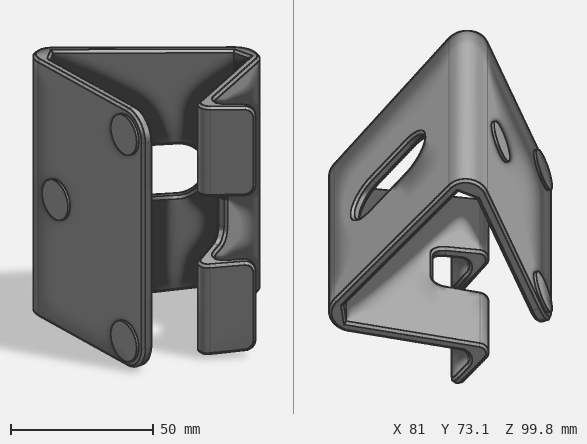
import cadquery as cq
import math

height = 99.8
edge_chamfer = 1.0
square_tolerance = 0.2
side_taper = 4.0

base_thickness = 4.5
wall_thickness = 4.0
lip_thickness = 3.6
base_length = 69.4
back_angle = 60.7
front_angle = 59.3
lip_angle = 60.0
base_bend_radius = 8.0
apex_bend_radius = 8.2
apex_height = 72.1
hook_bottom = 24.6
hook_outer_radius = 3.8
hook_inner_radius = 3.7
lip_end_x = 81.5

base_gusset_on_base = 7.9
base_gusset_on_back = 5.9
apex_gusset_on_back = 7.8
apex_gusset_on_front = 5.9

base_corner_radius = 10.0
lip_corner_radius = 4.0

window_length = 39.9
window_width = 20.0
window_center_y = 41.5

slot_end_y = 42.7
slot_end_width = 23.6
slot_corner_radius = 5.0

foot_diameter = 15.0
foot_thickness = 1.0
foot_inset = 10.0
foot_spacing = 40.0


def direction(degrees):
    angle = math.radians(degrees)
    return cq.Vector(math.cos(angle), math.sin(angle))


def crossing(point_a, along_a, point_b, along_b):
    """Point where two lines in the XY plane meet."""
    gap = point_b - point_a
    reach = gap.cross(along_b).z / along_a.cross(along_b).z
    return point_a + along_a * reach


back_along = direction(back_angle)
back_out = direction(back_angle + 90)
front_along = direction(-front_angle)
front_out = direction(90 - front_angle)
lip_along = direction(lip_angle)
lip_out = direction(lip_angle - 90)
right = cq.Vector(1, 0)
up = cq.Vector(0, 1)

base_bend = cq.Vector(base_bend_radius, base_bend_radius)
back_outer = base_bend + back_out * base_bend_radius
apex_level = up * (apex_height - apex_bend_radius)
apex_bend = crossing(back_outer - back_out * apex_bend_radius, back_along, apex_level, right)
front_outer = apex_bend + front_out * apex_bend_radius

back_inner = back_outer - back_out * wall_thickness
front_inner = front_outer - front_out * wall_thickness
base_inner = up * base_thickness

hook_level = up * (hook_bottom + hook_outer_radius)
hook_outer_bend = crossing(
    front_inner + front_out * hook_outer_radius,
    front_along,
    hook_level,
    right,
)
lip_outer = hook_outer_bend + lip_out * hook_outer_radius
lip_inner = lip_outer - lip_out * lip_thickness
hook_inner_bend = crossing(
    front_outer + front_out * hook_inner_radius,
    front_along,
    lip_inner - lip_out * hook_inner_radius,
    lip_along,
)
lip_end_outer = crossing(lip_outer, lip_along, right * lip_end_x, up)
lip_end_inner = lip_end_outer - lip_out * lip_thickness

base_corner = crossing(base_inner, right, back_inner, back_along)
apex_corner = crossing(back_inner, back_along, front_inner, front_along)


def sheet():
    """The bent sheet, taller than needed and with all edges sharp."""
    base_bend_middle = base_bend + direction(225) * base_bend_radius
    return (
        cq.Workplane("XY")
        .moveTo(base_bend_radius, 0)
        .threePointArc(base_bend_middle, back_outer)
        .polyline([apex_bend + back_out * apex_bend_radius], includeCurrent=True)
        .threePointArc(apex_bend + up * apex_bend_radius, front_outer)
        .polyline([hook_inner_bend - front_out * hook_inner_radius], includeCurrent=True)
        .threePointArc(
            hook_inner_bend - up * hook_inner_radius,
            hook_inner_bend + lip_out * hook_inner_radius,
        )
        .polyline([lip_end_inner, lip_end_outer, lip_outer], includeCurrent=True)
        .threePointArc(
            hook_outer_bend - up * hook_outer_radius,
            hook_outer_bend - front_out * hook_outer_radius,
        )
        .polyline(
            [
                apex_corner + front_along * apex_gusset_on_front,
                apex_corner - back_along * apex_gusset_on_back,
                base_corner + back_along * base_gusset_on_back,
                base_corner + right * base_gusset_on_base,
                (base_length, base_thickness),
                (base_length, 0),
            ],
            includeCurrent=True,
        )
        .close()
        .extrude(height, both=True)
    )


def tapered_envelope():
    """Wedge that tapers both Z ends; the full height is reached where the base chamfer ends."""
    slope = math.tan(math.radians(side_taper))
    half_at_base = height / 2 + edge_chamfer * slope
    half_at_top = half_at_base - apex_height * slope
    return (
        cq.Workplane("YZ")
        .polyline(
            [
                (0, -half_at_base),
                (apex_height, -half_at_top),
                (apex_height, half_at_top),
                (0, half_at_base),
            ]
        )
        .close()
        .extrude(height, both=True)
    )


def slot_cutter():
    """Slot seen square to the front wall: rounded at its upper end and open past the lip."""
    end = crossing(front_outer, front_along, up * slot_end_y, right)
    start = end - front_out * 2 * wall_thickness
    run = height / 2
    half_end = slot_end_width / 2
    half_open = half_end + run * math.tan(math.radians(side_taper))
    return (
        cq.Workplane(cq.Plane(start, xDir=front_along, normal=front_out))
        .polyline([(0, -half_end), (run, -half_open), (run, half_open), (0, half_end)])
        .close()
        .extrude(height)
        .edges(cq.selectors.ParallelDirSelector(front_out))
        .fillet(slot_corner_radius)
    )


def window_cutter():
    """Stadium through the back wall, square to it and long along its slope."""
    center = crossing(back_outer, back_along, up * window_center_y, right)
    start = center + back_out * wall_thickness
    return (
        cq.Workplane(cq.Plane(start, xDir=back_along, normal=-back_out))
        .slot2D(window_length, window_width)
        .extrude(3 * wall_thickness)
    )


def square_edges(solid):
    """Edges where two faces meet nearly at a right angle, which is the whole rim of the sheet."""
    chosen = []
    for edge in solid.Edges():
        middle = edge.positionAt(0.5)
        normals = [face.normalAt(middle) for face in edge.ancestors(solid, "Face").Faces()]
        if abs(normals[0].dot(normals[1])) < square_tolerance:
            chosen.append(edge)
    return chosen


def feet():
    """Three discs: two near the free edge of the base plate and one midway between them, further in."""
    outer_x = base_length - foot_inset
    centers = [
        (outer_x, foot_spacing),
        (outer_x, -foot_spacing),
        (outer_x - foot_spacing, 0),
    ]
    return (
        cq.Workplane("XZ")
        .pushPoints(centers)
        .circle(foot_diameter / 2)
        .extrude(foot_thickness)
    )


stand = sheet().intersect(tapered_envelope()).cut(slot_cutter())
stand = stand.faces("|X").edges("not |Z").fillet(base_corner_radius)
lip_ends = stand.faces(cq.selectors.ParallelDirSelector(lip_along))
stand = lip_ends.edges("not |Z").fillet(lip_corner_radius)
sharp = stand.cut(window_cutter()).solids().val()

stand = cq.Workplane(sharp.chamfer(edge_chamfer, None, square_edges(sharp)))
result = stand.union(feet())